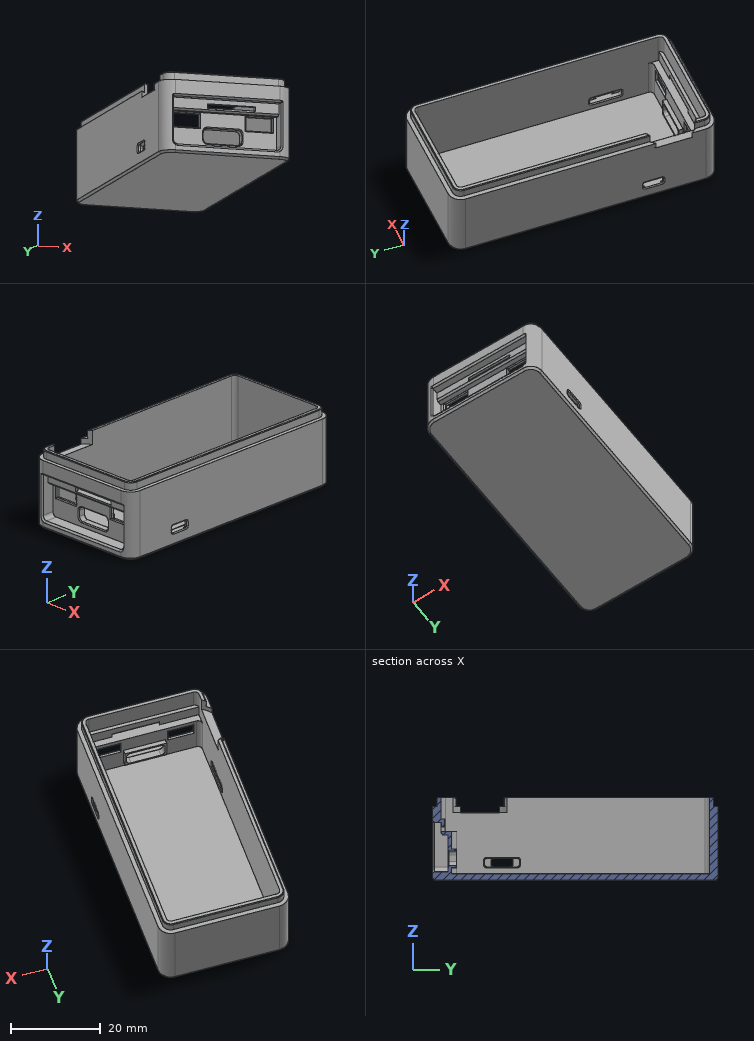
import cadquery as cq
WIDTH = 30.5
LENGTH = 63.75
HEIGHT = 18.5
CORNER_RADIUS = 3.0
BOTTOM_CHAMFER = 0.5
LIP_HEIGHT = 2.0
LIP_INSET = 1.0
LIP_CHAMFER = 0.2
SHOULDER_Z = HEIGHT - LIP_HEIGHT
FRONT_Y = -LENGTH / 2

WALL = 2.0
FLOOR_Z = 1.5
CAVITY_WIDTH = WIDTH - 2 * WALL
CAVITY_RADIUS = CORNER_RADIUS - WALL

PANEL_THICKNESS = 0.8
RECESS_WIDTH = 25.25
RECESS_BOTTOM = 2.0
RECESS_TOP = 12.9
RECESS_RADIUS = 1.0
RECESS_CHAMFER = 0.45
UPPER_DEPTH = 2.0
LOWER_DEPTH = 3.5
STEP_Z = 10.1

OPENING_CHAMFER = 0.25
SIDE_PORT_WIDTH = 6.1
SIDE_PORT_HEIGHT = 3.1
SIDE_PORT_X = 8.55
SIDE_PORT_Z = 8.2
MID_PORT_WIDTH = 9.05
MID_PORT_HEIGHT = 3.45
MID_PORT_Z = 4.9
MID_PORT_RADIUS = 1.0
COLLAR_WALL = 0.4
COLLAR_LENGTH = 1.0
CARD_SLOT_WIDTH = 11.15
CARD_SLOT_X = 1.5
CARD_SLOT_HEIGHT = 0.95

SIDE_SLOT_LENGTH = 4.85
SIDE_SLOT_HEIGHT = 1.85
SIDE_SLOT_Z = 3.95
SIDE_SLOT_FROM_FRONT = 15.55
SIDE_SLOT_RADIUS = 0.5
SIDE_POCKET_LENGTH = 7.8
SIDE_POCKET_DEPTH = 1.3
NOTCH_RADIUS = 6.9
NOTCH_CENTER_INSET = 5.35
NOTCH_FROM_FRONT = 10.65
NOTCH_FLOOR_Z = 15.1

CUT_MARGIN = 0.65


def rounded_prism(width, length, radius, bottom, top):
    """Upright prism with rounded vertical edges, centred on the Z axis."""
    prism = cq.Workplane("XY").workplane(offset=bottom).rect(width, length).extrude(top - bottom)
    return prism.edges("|Z").fillet(radius)


def front_block(width, bottom, top, near, far, x=0.0):
    """Box given by its height range and its depth range behind the front face."""
    block = cq.Workplane("XY").box(width, far - near, top - bottom, centered=(True, False, False))
    return block.translate((x, FRONT_Y + near, bottom))


def make_body():
    """Rounded block with a bevelled underside and a stepped-in rim lip."""
    body = rounded_prism(WIDTH, LENGTH, CORNER_RADIUS, 0, SHOULDER_Z)
    body = body.faces("<Z").chamfer(BOTTOM_CHAMFER)
    lip = rounded_prism(
        WIDTH - 2 * LIP_INSET, LENGTH - 2 * LIP_INSET, CORNER_RADIUS - LIP_INSET, SHOULDER_Z, HEIGHT
    )
    lip = lip.faces(">Z").chamfer(LIP_CHAMFER)
    return body.union(lip)


def make_cavity():
    """Inner space, leaving a stepped wall of even thickness behind the front recess."""
    cavity = rounded_prism(
        CAVITY_WIDTH, LENGTH - 2 * WALL, CAVITY_RADIUS, FLOOR_Z, HEIGHT + CUT_MARGIN
    )
    ledge_z = STEP_Z + PANEL_THICKNESS
    upper_back = front_block(WIDTH, 0, RECESS_TOP + PANEL_THICKNESS, 0, UPPER_DEPTH + PANEL_THICKNESS)
    lower_back = front_block(WIDTH, 0, ledge_z, 0, LOWER_DEPTH + PANEL_THICKNESS)
    cavity = cavity.cut(upper_back).cut(lower_back)
    lower_corners = cq.selectors.BoxSelector(
        (-WIDTH, FRONT_Y + LOWER_DEPTH, FLOOR_Z),
        (WIDTH, FRONT_Y + LOWER_DEPTH + 2 * PANEL_THICKNESS, ledge_z),
    )
    return cavity.edges("|Z").edges(lower_corners).fillet(CAVITY_RADIUS)


def flared_opening(width, height, radius, chamfer, length):
    """Cutter entering a face at Y = 0 toward +Y, centred on X and Z, bevelled at the face."""
    outline = cq.Sketch().rect(width, height)
    if radius:
        outline = outline.vertices().fillet(radius)
    straight = cq.Workplane("XZ").placeSketch(outline).extrude(-length)
    throat = cq.Workplane("XZ", origin=(0, chamfer, 0)).placeSketch(outline)
    return straight.union(throat.extrude(chamfer, taper=-45))


def make_recess():
    """Front recess with a bevelled rim, shallower above the step than below it."""
    throat = (
        cq.Sketch()
        .push([(0, (RECESS_TOP + RECESS_BOTTOM) / 2)])
        .rect(RECESS_WIDTH, RECESS_TOP - RECESS_BOTTOM)
        .reset()
        .vertices("<Y")
        .fillet(RECESS_RADIUS)
    )
    recess = cq.Workplane("XZ", origin=(0, FRONT_Y, 0)).placeSketch(throat).extrude(-LOWER_DEPTH)
    mouth = cq.Workplane("XZ", origin=(0, FRONT_Y + RECESS_CHAMFER, 0)).placeSketch(throat)
    mouth = mouth.extrude(RECESS_CHAMFER, taper=-45)
    overhang = front_block(WIDTH, STEP_Z, HEIGHT, UPPER_DEPTH, LOWER_DEPTH)
    overhang = overhang.edges("|X and <Y and <Z").chamfer(RECESS_CHAMFER)
    return recess.cut(overhang).union(mouth)


def make_port(x, z, width, height, radius):
    """Bevelled opening through the lower front panel and any collar behind it."""
    port = flared_opening(width, height, radius, OPENING_CHAMFER, PANEL_THICKNESS + COLLAR_LENGTH)
    return port.translate((x, FRONT_Y + LOWER_DEPTH, z))


def make_collar():
    """Solid block that the middle port turns into a short sleeve on the inner side of the panel."""
    collar = cq.Workplane("XY").box(
        MID_PORT_WIDTH + 2 * COLLAR_WALL,
        PANEL_THICKNESS + COLLAR_LENGTH,
        MID_PORT_HEIGHT + 2 * COLLAR_WALL,
        centered=(True, False, True),
    )
    return collar.translate((0, FRONT_Y + LOWER_DEPTH, MID_PORT_Z))


def make_card_slot():
    """Slot through the upper panel, level with the ledge behind it."""
    ledge_z = STEP_Z + PANEL_THICKNESS
    return front_block(
        CARD_SLOT_WIDTH, ledge_z, ledge_z + CARD_SLOT_HEIGHT, 0, UPPER_DEPTH + PANEL_THICKNESS, CARD_SLOT_X
    )


def make_side_slots():
    """Bevelled slots through both long walls, each with a longer pocket on the inner side."""
    slot = flared_opening(SIDE_SLOT_LENGTH, SIDE_SLOT_HEIGHT, SIDE_SLOT_RADIUS, OPENING_CHAMFER, WALL)
    slot = slot.rotate((0, 0, 0), (0, 0, 1), -90).translate((-WIDTH / 2, 0, 0))
    pocket = flared_opening(
        SIDE_POCKET_LENGTH, SIDE_SLOT_HEIGHT, SIDE_SLOT_RADIUS, OPENING_CHAMFER, SIDE_POCKET_DEPTH
    )
    pocket = pocket.rotate((0, 0, 0), (0, 0, 1), 90).translate((-CAVITY_WIDTH / 2, 0, 0))
    left_side = slot.union(pocket)
    slots = left_side.union(left_side.mirror("YZ"))
    return slots.translate((0, FRONT_Y + SIDE_SLOT_FROM_FRONT, SIDE_SLOT_Z))


def make_notch():
    """Round finger notch in the rim of the -X wall."""
    notch = cq.Workplane("XY").circle(NOTCH_RADIUS).extrude(HEIGHT + CUT_MARGIN - NOTCH_FLOOR_Z)
    return notch.translate(
        (-WIDTH / 2 + NOTCH_CENTER_INSET, FRONT_Y + NOTCH_FROM_FRONT, NOTCH_FLOOR_Z)
    )


result = make_body().cut(make_cavity()).cut(make_recess()).union(make_collar())
for side in (-1, 1):
    result = result.cut(make_port(side * SIDE_PORT_X, SIDE_PORT_Z, SIDE_PORT_WIDTH, SIDE_PORT_HEIGHT, 0))
result = result.cut(make_port(0, MID_PORT_Z, MID_PORT_WIDTH, MID_PORT_HEIGHT, MID_PORT_RADIUS))
result = result.cut(make_card_slot()).cut(make_side_slots()).cut(make_notch())